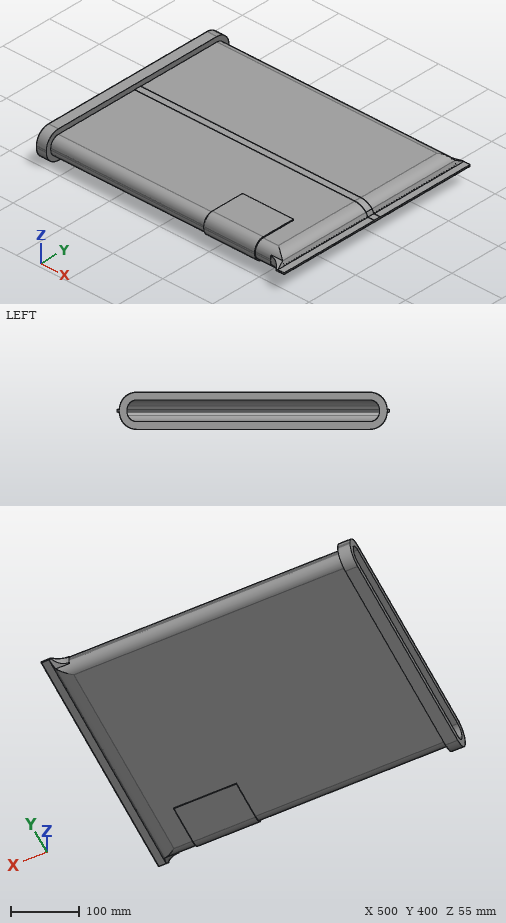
import cadquery as cq
import math

length = 500.0
seal_width = 400.0
straight_half = 170.5
seam_half = 1.5

body_radius = 16.5
wall = 2.0
body_half = body_radius + seam_half
body_side = straight_half + body_radius

collar_length = 20.0
collar_radius = 26.0

taper_start = 461.0
shoulder_x = 483.5
shoulder_z = 8.5
taper_end = 487.5

strip_width = 13.0
strip_thickness = 0.5
patch_start = 328.5
patch_length = 102.0
patch_inner_y = -105.5
patch_thickness = 2.0


def tube(radius, start, end):
    """Rounded slab along X: flat panels joined by two rounded sides."""
    width = 2 * (straight_half + radius)
    height = 2 * (radius + seam_half)
    slab = cq.Workplane("YZ").workplane(offset=start).rect(width, height).extrude(end - start)
    return slab.edges("|X").fillet(radius)


def side_profile(offset, start, half_width):
    """Tapered side outline, moved by offset from the outer skin and spread along Y."""
    run = shoulder_x - taper_start
    drop = body_half - shoulder_z
    radius = (run**2 + drop**2) / (2 * drop)
    end_angle = math.asin(run / radius)

    def arc_point(angle, side):
        reach = radius + offset
        x = taper_start + reach * math.sin(angle)
        z = body_half - radius + reach * math.cos(angle)
        return x, side * z

    tip = taper_end + offset
    top = body_half + offset
    return (
        cq.Workplane("XZ")
        .moveTo(start, -top)
        .lineTo(start, top)
        .lineTo(taper_start, top)
        .threePointArc(arc_point(end_angle / 2, 1), arc_point(end_angle, 1))
        .lineTo(tip, seam_half)
        .lineTo(tip, -seam_half)
        .lineTo(*arc_point(end_angle, -1))
        .threePointArc(arc_point(end_angle / 2, -1), (taper_start, -top))
        .close()
        .extrude(half_width, both=True)
    )


def tapered_tube(offset):
    blank = tube(body_radius + offset, 0, length)
    return blank.intersect(side_profile(offset, 0, seal_width))


def side_flares():
    """Concave webs that widen the tapered end out to the seal."""
    half = seal_width / 2
    run = shoulder_x - taper_start
    rise = half - body_side
    radius = (run**2 + rise**2) / (2 * rise)
    mid_angle = math.asin(run / radius) / 2
    mid_x = taper_start + radius * math.sin(mid_angle)
    mid_y = body_side + radius * (1 - math.cos(mid_angle))
    web = (
        cq.Workplane("XY")
        .moveTo(taper_start, straight_half)
        .lineTo(taper_start, body_side)
        .threePointArc((mid_x, mid_y), (shoulder_x, half))
        .lineTo(taper_end, half)
        .lineTo(taper_end, straight_half)
        .close()
        .extrude(shoulder_z, both=True)
    )
    root_y = straight_half + math.sqrt(body_radius**2 - (shoulder_z - seam_half) ** 2)
    thinning = (
        cq.Workplane("YZ")
        .moveTo(straight_half, shoulder_z)
        .lineTo(root_y, shoulder_z)
        .lineTo(half, seam_half)
        .lineTo(half, -seam_half)
        .lineTo(root_y, -shoulder_z)
        .lineTo(straight_half, -shoulder_z)
        .close()
        .extrude(length)
    )
    web = web.intersect(thinning)
    web = web.intersect(side_profile(0, 0, seal_width))
    return web.union(web.mirror("XZ"))


def seal():
    """Thin flat plate closing the end."""
    plate_length = length - shoulder_x
    return (
        cq.Workplane("XY")
        .box(plate_length, seal_width, 2 * seam_half, centered=(False, True, True))
        .translate((shoulder_x, 0, 0))
    )


def centre_strip():
    """Thin raised strip along the upper panel, running over the taper and the seal."""
    on_body = side_profile(strip_thickness, collar_length, strip_width / 2)
    upper = (
        cq.Workplane("XY")
        .box(length, strip_width, body_radius + wall, centered=(False, True, False))
        .translate((0, 0, seam_half))
    )
    on_seal = (
        cq.Workplane("XY")
        .box(length - taper_end, strip_width, strip_thickness, centered=(False, True, False))
        .translate((taper_end, 0, seam_half))
    )
    return on_body.intersect(upper).union(on_seal)


def side_patch():
    """Patch wrapped round the -Y side of the body."""
    patch_end = patch_start + patch_length
    sleeve = tube(body_radius + patch_thickness, patch_start, patch_end)
    keep = (
        cq.Workplane("XY")
        .box(length, seal_width, seal_width, centered=(False, False, True))
        .translate((0, patch_inner_y - seal_width, 0))
    )
    return sleeve.intersect(keep)


result = (
    tapered_tube(0)
    .union(tube(collar_radius, 0, collar_length))
    .union(side_flares())
    .union(seal())
    .union(centre_strip())
    .union(side_patch())
    .cut(tapered_tube(-wall))
)